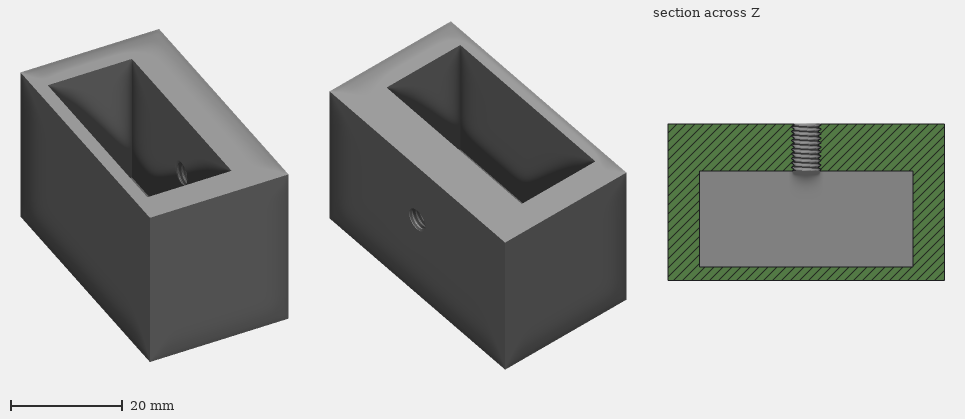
import cadquery as cq
import math

LENGTH = 49.51
WIDTH = 28.0
HEIGHT = 32.0

POCKET_LENGTH = 38.1
POCKET_WIDTH = 17.0
END_WALL = (LENGTH - POCKET_LENGTH) / 2
POCKET_DEPTH = HEIGHT - END_WALL
FRONT_WALL = 2.5
BACK_WALL = WIDTH - FRONT_WALL - POCKET_WIDTH

THREAD_MINOR_DIAMETER = 4.23
THREAD_MAJOR_DIAMETER = 5.12
THREAD_PITCH = 0.8
THREAD_FLANK_ANGLE = 30.0
THREAD_ROOT_FLAT = THREAD_PITCH / 8
THREAD_START_ANGLE = 220.0
BORE_SEAM_ANGLE = 180.0
GROOVE_OVERLAP = 0.1
THREAD_LENGTH = BACK_WALL + 2 * THREAD_PITCH
HOLE_X = LENGTH / 2
HOLE_Z = HEIGHT - POCKET_DEPTH / 2


def make_block():
    return cq.Workplane("XY").box(LENGTH, WIDTH, HEIGHT, centered=False)


def make_pocket():
    corner = (END_WALL, FRONT_WALL, HEIGHT - POCKET_DEPTH)
    return (
        cq.Workplane("XY")
        .box(POCKET_LENGTH, POCKET_WIDTH, POCKET_DEPTH, centered=False)
        .translate(corner)
    )


def make_thread_groove():
    """Helical groove with a trapezoidal section, starting at Z = 0."""
    inner_radius = THREAD_MINOR_DIAMETER / 2 - GROOVE_OVERLAP
    outer_radius = THREAD_MAJOR_DIAMETER / 2
    outer_half = THREAD_ROOT_FLAT / 2
    flank_rise = (outer_radius - inner_radius) * math.tan(math.radians(THREAD_FLANK_ANGLE))
    inner_half = outer_half + flank_rise
    path = cq.Wire.makeHelix(THREAD_PITCH, THREAD_LENGTH, inner_radius)
    return (
        cq.Workplane("XZ")
        .polyline(
            [
                (inner_radius, -inner_half),
                (outer_radius, -outer_half),
                (outer_radius, outer_half),
                (inner_radius, inner_half),
            ]
        )
        .close()
        .sweep(cq.Workplane(obj=path), isFrenet=True)
    )


def make_thread_cutter():
    """Bore and groove along +Y, reaching one pitch past both faces of the back wall."""
    bore = (
        cq.Workplane("XY")
        .circle(THREAD_MINOR_DIAMETER / 2)
        .extrude(THREAD_LENGTH)
        .rotate((0, 0, 0), (0, 0, 1), BORE_SEAM_ANGLE)
    )
    cutter = bore.union(make_thread_groove())
    started = cutter.rotate((0, 0, 0), (0, 0, 1), THREAD_START_ANGLE)
    turned = started.rotate((0, 0, 0), (1, 0, 0), -90)
    return turned.translate((HOLE_X, WIDTH - BACK_WALL - THREAD_PITCH, HOLE_Z))


result = make_block().cut(make_pocket()).cut(make_thread_cutter())